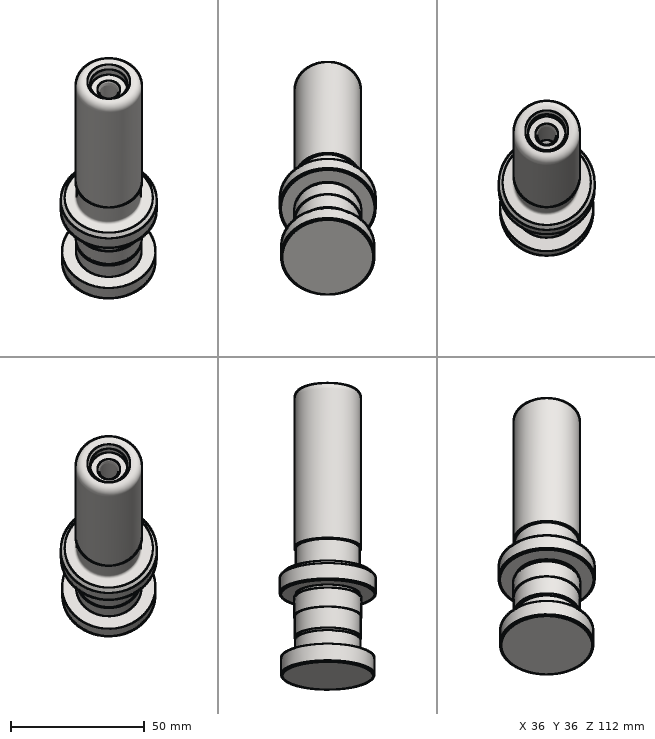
import cadquery as cq
import math

total_height = 112.0
flange_height = 7.0
split_z = 14.0
lead_top_z = 23.2
press_fit_top_z = 30.9
collar_bottom_z = 32.0
collar_top_z = 40.0
guide_bottom_z = 50.0

flange_radius = 17.5
flange_chamfer = 0.5
stem_radius = 12.3

shank_radius = 12.4
shank_chamfer = 1.0
press_fit_radius = 12.6
press_fit_taper = 0.3
undercut_radius = 12.0
collar_radius = 18.0
collar_top_chamfer = 1.5
collar_bottom_chamfer = 0.5
neck_radius = 12.0
neck_fillet = 1.0
guide_radius = 12.5
guide_bottom_chamfer = 0.3
nose_fillet = 3.0

mouth_radius = 8.0
recess_radius = 7.0
recess_depth = 5.0
countersink_half_angle = 30.0
bore_mouth_radius = 4.25
bore_lead_radius = 3.75
bore_radius = 3.45
bore_lead_length = 1.25
bore_depth = 20.0
drill_tip_half_angle = 59.0


def cone_height(large_radius, small_radius, half_angle):
    """Axial length of a cone between two radii."""
    return (large_radius - small_radius) / math.tan(math.radians(half_angle))


def make_retainer():
    """Round flange with a plain stem on top."""
    flange = cq.Workplane("XY").circle(flange_radius).extrude(flange_height)
    flange = flange.faces("<Z").edges().chamfer(flange_chamfer)
    stem = cq.Workplane("XY").circle(stem_radius).extrude(split_z)
    return flange.union(stem)


def make_pin_body():
    """Solid of revolution: shank, press fit, undercut, collar, neck and guide."""
    fillet_mid = neck_fillet * (1 - math.sqrt(0.5))
    nose_center_r = guide_radius - nose_fillet
    nose_center_z = total_height - nose_fillet
    nose_mid = nose_fillet * math.sqrt(0.5)
    profile = (
        cq.Workplane("XZ")
        .moveTo(0, split_z)
        .lineTo(shank_radius - shank_chamfer, split_z)
        .lineTo(shank_radius, split_z + shank_chamfer)
        .lineTo(shank_radius, lead_top_z)
        .lineTo(press_fit_radius, lead_top_z)
        .lineTo(press_fit_radius, press_fit_top_z - press_fit_taper)
        .lineTo(undercut_radius, press_fit_top_z)
        .lineTo(undercut_radius, collar_bottom_z)
        .lineTo(collar_radius - collar_bottom_chamfer, collar_bottom_z)
        .lineTo(collar_radius, collar_bottom_z + collar_bottom_chamfer)
        .lineTo(collar_radius, collar_top_z - collar_top_chamfer)
        .lineTo(collar_radius - collar_top_chamfer, collar_top_z)
        .lineTo(neck_radius + neck_fillet, collar_top_z)
        .threePointArc(
            (neck_radius + fillet_mid, collar_top_z + fillet_mid),
            (neck_radius, collar_top_z + neck_fillet),
        )
        .lineTo(neck_radius, guide_bottom_z)
        .lineTo(guide_radius - guide_bottom_chamfer, guide_bottom_z)
        .lineTo(guide_radius, guide_bottom_z + guide_bottom_chamfer)
        .lineTo(guide_radius, nose_center_z)
        .threePointArc(
            (nose_center_r + nose_mid, nose_center_z + nose_mid),
            (nose_center_r, total_height),
        )
        .lineTo(0, total_height)
        .close()
    )
    return profile.revolve(360, (0, 0, 0), (0, 1, 0))


def make_centre_hole():
    """Centre hole: conical mouth, flat recess, tapered lead-in and a bore with a drill tip."""
    mouth_cone = cone_height(mouth_radius, recess_radius, countersink_half_angle)
    bore_cone = cone_height(bore_mouth_radius, bore_lead_radius, countersink_half_angle)
    floor_z = total_height - recess_depth
    bore_end_z = floor_z - bore_depth
    tip_z = bore_end_z - cone_height(bore_radius, 0, drill_tip_half_angle)
    profile = (
        cq.Workplane("XZ")
        .moveTo(0, total_height)
        .lineTo(mouth_radius, total_height)
        .lineTo(recess_radius, total_height - mouth_cone)
        .lineTo(recess_radius, floor_z)
        .lineTo(bore_mouth_radius, floor_z)
        .lineTo(bore_lead_radius, floor_z - bore_cone)
        .lineTo(bore_radius, floor_z - bore_cone - bore_lead_length)
        .lineTo(bore_radius, bore_end_z)
        .lineTo(0, tip_z)
        .close()
    )
    return profile.revolve(360, (0, 0, 0), (0, 1, 0))


retainer = make_retainer()
pin = make_pin_body().cut(make_centre_hole())

result = cq.Compound.makeCompound([retainer.val(), pin.val()])